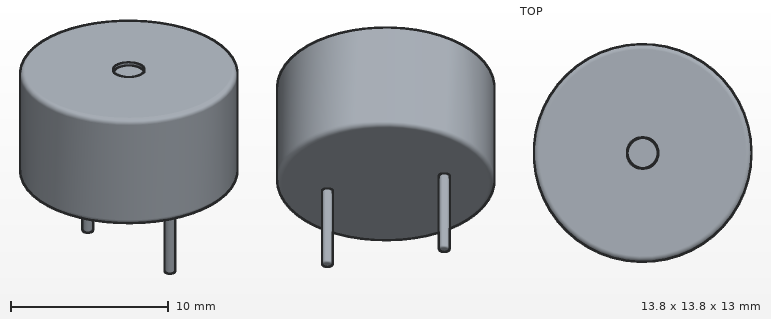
import cadquery as cq

body_diameter = 13.8
body_height = 7.5
body_edge_radius = 0.35

hole_diameter = 2.0
plug_diameter = 1.9
hole_depth = 0.5
plug_recess = 0.21

pin_diameter = 0.7
pin_length = 5.53
pin_spacing = 7.6
pin_tip_radius = 0.14


def make_body():
    """Round can standing on Z = 0 with both rims rounded."""
    can = cq.Workplane("XY").circle(body_diameter / 2).extrude(body_height)
    return can.edges().fillet(body_edge_radius)


def make_pin(x):
    """Pin hanging below the can, with a rounded tip."""
    pin = cq.Workplane("XY").center(x, 0).circle(pin_diameter / 2).extrude(-pin_length)
    return pin.faces("<Z").edges().fillet(pin_tip_radius)


def make_hole():
    """Cutter for the blind sound hole in the top face."""
    top = cq.Workplane("XY").workplane(offset=body_height)
    return top.circle(hole_diameter / 2).extrude(-hole_depth)


def make_plug():
    """Disc on the hole floor, leaving a narrow gap to the hole wall."""
    floor = cq.Workplane("XY").workplane(offset=body_height - hole_depth)
    return floor.circle(plug_diameter / 2).extrude(hole_depth - plug_recess)


result = make_body().cut(make_hole()).union(make_plug())
for side in (-1, 1):
    result = result.union(make_pin(side * pin_spacing / 2))